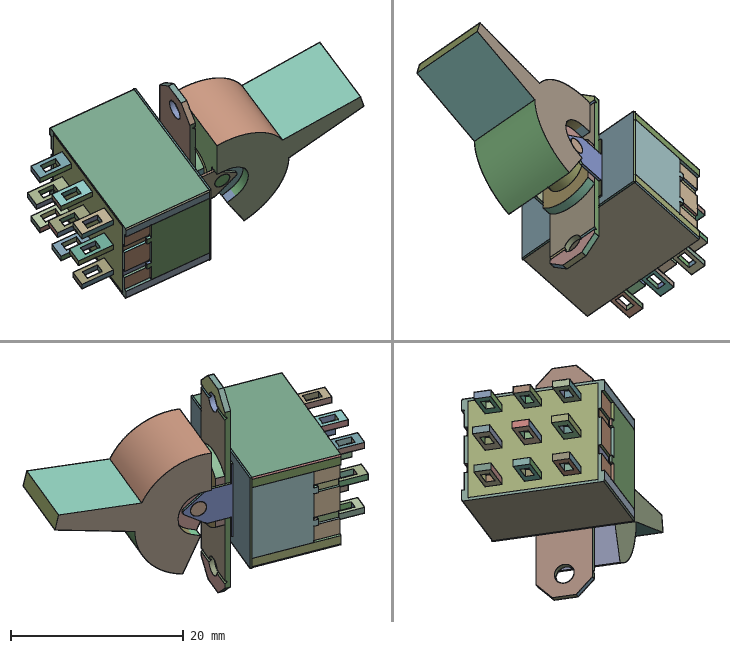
import cadquery as cq
import math


case_width = 17.5
case_height = 13.13
case_front_y = -4.62
case_rear_y = -15.9
side_wall = 0.82
top_wall = 0.35
bevel_x = 0.1
bevel_along = 0.25
slot_z = 2.35
slot_height = 1.15
slot_floor_depth = 0.65

frame_front_y = case_front_y + bevel_along
strap_thickness = 0.35
strap_height = 10.25
strap_rear_y = -12.45
tongue_height = 0.85
tongue_length = 0.6
pad_height = 10.5
ear_thickness = 0.295
ear_half_height = 2.43
ear_shoulder_y = -1.0
ear_apex_y = 2.25
ear_nose_radius = 0.35
ear_hole_diameter = 2.05

terminal_width = 2.08
terminal_thickness = 0.85
column_pitch = 4.8
row_pitch = 4.7
outer_terminal_length = 4.25
middle_terminal_length = 4.7
eye_width = 1.1
eye_length = 2.0
outer_eye_start = 1.2
middle_eye_start = 1.5

plate_width = 6.95
plate_height = 29.5
plate_front_y = -3.45
plate_rear_y = -4.2
plate_corner = 2.0
mount_hole_diameter = 2.4
mount_hole_z = 11.87
groove_width = 0.47
groove_depth = 0.3

flange_diameter = 9.87
flange_front_y = -2.27
bushing_diameter = 5.1
bushing_front_y = 0.0

rocker_width = 9.35
rocker_radius = 8.45
rocker_tilt = 12.5
rocker_face_offset = 1.25
recess_radius = 2.98
trunnion_diameter = 2.0
lever_tip_half = 1.05
lever_root_half = 2.0

overall_length = 39.18
tip_corner_y = overall_length + case_rear_y - middle_terminal_length
tilt_angle = math.radians(rocker_tilt)
lever_reach = (tip_corner_y - lever_tip_half * math.sin(tilt_angle)) / math.cos(tilt_angle)

ear_inner_x = plate_width / 2
ear_outer_x = ear_inner_x + ear_thickness
SIDES = (-1, 1)


def block(x_range, y_range, z_range):
    """Box given by its two limits along each axis."""
    low, high = zip(x_range, y_range, z_range)
    size = [b - a for a, b in zip(low, high)]
    return cq.Workplane("XY").box(*size, centered=False).translate(low)


def centred_block(width, y_range, height):
    """Box centred on X and Z."""
    return block((-width / 2, width / 2), y_range, (-height / 2, height / 2))


def x_prism(profile, x_low, x_high):
    """Extrude a profile drawn on the YZ plane from x_low to x_high."""
    return profile.extrude(x_high - x_low).translate((x_low, 0, 0))


def x_cylinder(diameter, x_low, x_high):
    return x_prism(cq.Workplane("YZ").circle(diameter / 2), x_low, x_high)


def y_cylinder(diameter, y_low, y_high, z=0.0):
    disc = cq.Workplane("XZ", origin=(0, y_high, z)).circle(diameter / 2)
    return disc.extrude(y_high - y_low)


def side_block(side, depth_range, y_range, z_range):
    """Box at one side of the case, its X limits given as depths below the case side."""
    x_range = sorted(side * (case_width / 2 - depth) for depth in depth_range)
    return block(x_range, y_range, z_range)


def height_range(height, z=0.0):
    return (z - height / 2, z + height / 2)


def make_case():
    """Tube with bevelled long edges, a channel for each strap and two slots in each channel."""
    x_side = case_width / 2
    z_top = case_height / 2
    x_bevel = x_side - bevel_x
    z_bevel = z_top - bevel_along
    case = cq.Workplane("XZ", origin=(0, case_front_y, 0)).polyline([
        (-x_bevel, -z_top), (x_bevel, -z_top), (x_side, -z_bevel), (x_side, z_bevel),
        (x_bevel, z_top), (-x_bevel, z_top), (-x_side, z_bevel), (-x_side, -z_bevel),
    ]).close().extrude(case_front_y - case_rear_y)
    case = case.cut(make_base_block())
    for side in SIDES:
        channel = side_block(side, (0, strap_thickness), (case_rear_y, case_front_y),
                             height_range(strap_height))
        case = case.cut(channel)
        for z in (-slot_z, slot_z):
            slot = side_block(side, (strap_thickness, slot_floor_depth), (case_rear_y, strap_rear_y),
                              height_range(slot_height, z))
            case = case.cut(slot)
    return case


def make_base_block():
    return centred_block(case_width - 2 * side_wall, (case_rear_y, case_front_y),
                         case_height - 2 * top_wall)


def make_terminal(length, eye_start):
    blade = centred_block(terminal_width, (case_rear_y - length, case_rear_y), terminal_thickness)
    eye_y = case_rear_y - eye_start
    eye = centred_block(eye_width, (eye_y - eye_length, eye_y), terminal_thickness)
    return blade.cut(eye)


def make_base():
    base = make_base_block()
    outer = make_terminal(outer_terminal_length, outer_eye_start)
    middle = make_terminal(middle_terminal_length, middle_eye_start)
    for row, terminal in ((-1, outer), (0, middle), (1, outer)):
        for column in (-1, 0, 1):
            base = base.union(terminal.translate((column * column_pitch, 0, row * row_pitch)))
    return base


def make_plate():
    plate = centred_block(plate_width, (plate_rear_y, plate_front_y), plate_height)
    plate = plate.edges("|Y").chamfer(plate_corner)
    for z in (-mount_hole_z, mount_hole_z):
        hole = y_cylinder(mount_hole_diameter, plate_rear_y, plate_front_y, z)
        groove = x_prism(cq.Workplane("YZ").polyline([
            (plate_front_y, z - groove_width / 2), (plate_front_y - groove_depth, z),
            (plate_front_y, z + groove_width / 2)]).close(), -ear_inner_x, ear_inner_x)
        plate = plate.cut(hole).cut(groove)
    return plate


def make_ear():
    """Ear on the +X side, with a rounded nose and the pivot hole."""
    profile = cq.Workplane("YZ").polyline([
        (frame_front_y, -ear_half_height), (ear_shoulder_y, -ear_half_height), (ear_apex_y, 0),
        (ear_shoulder_y, ear_half_height), (frame_front_y, ear_half_height)]).close()
    ear = x_prism(profile, ear_inner_x, ear_outer_x)
    ear = ear.edges("|X").edges(">Y").fillet(ear_nose_radius)
    return ear.cut(x_cylinder(ear_hole_diameter, ear_inner_x, ear_outer_x))


def make_front_plate():
    """Plate over the whole front of the case, bevelled along its two side edges."""
    x_side = case_width / 2
    x_bevel = x_side - bevel_x
    profile = cq.Workplane("XY", origin=(0, 0, -case_height / 2)).polyline([
        (-x_side, case_front_y), (x_side, case_front_y),
        (x_bevel, frame_front_y), (-x_bevel, frame_front_y)]).close()
    return profile.extrude(case_height)


def make_frame():
    pad = centred_block(2 * ear_outer_x, (frame_front_y, plate_rear_y), pad_height)
    ear = make_ear()
    frame = make_front_plate().union(pad).union(ear).union(ear.mirror("YZ"))
    for side in SIDES:
        strap = side_block(side, (0, strap_thickness), (strap_rear_y, case_front_y),
                           height_range(strap_height))
        frame = frame.union(strap)
        for z in (-slot_z, slot_z):
            tongue = side_block(side, (0, strap_thickness), (strap_rear_y - tongue_length, strap_rear_y),
                                height_range(tongue_height, z))
            frame = frame.union(tongue)
    return frame


def make_bushing():
    """Barrel on a round flange that is cut flat to fit between the ears."""
    flange = y_cylinder(flange_diameter, plate_front_y, flange_front_y)
    flange = flange.intersect(centred_block(plate_width, (plate_front_y, flange_front_y), flange_diameter))
    return flange.union(y_cylinder(bushing_diameter, flange_front_y, bushing_front_y))


def turned(shape, degrees):
    """Turn a shape about the pivot so that +Y rises toward +Z."""
    return shape.rotate((0, 0, 0), (1, 0, 0), degrees)


def make_lever():
    """Tapered lever along +Y, rooted on the rim of the drum."""
    root_y = math.sqrt(rocker_radius**2 - lever_root_half**2)
    profile = cq.Workplane("YZ").polyline([
        (0, -lever_root_half), (root_y, -lever_root_half), (lever_reach, -lever_tip_half),
        (lever_reach, lever_tip_half), (root_y, lever_root_half), (0, lever_root_half)]).close()
    return x_prism(profile, -rocker_width / 2, rocker_width / 2)


def make_recess():
    """Clearance for the ear on the +X side: a round pocket that runs out through both rear faces."""
    x_range = (ear_inner_x, rocker_width / 2)
    recess = x_cylinder(2 * recess_radius, *x_range)
    channel = block(x_range, (-rocker_radius, 0), (-recess_radius, recess_radius))
    for tilt in (-rocker_tilt, rocker_tilt):
        recess = recess.union(turned(channel, tilt))
    return recess.cut(x_cylinder(trunnion_diameter, ear_inner_x, ear_outer_x))


def make_rocker():
    half_width = rocker_width / 2
    drum = x_cylinder(2 * rocker_radius, -half_width, half_width)
    behind_face = block((-half_width, half_width), (-2 * rocker_radius, -rocker_face_offset),
                        (-2 * rocker_radius, 2 * rocker_radius))
    for tilt in (-rocker_tilt, rocker_tilt):
        drum = drum.cut(turned(behind_face, tilt))
    recess = make_recess()
    rocker = drum.union(make_lever()).cut(recess).cut(recess.mirror("YZ"))
    bore = y_cylinder(bushing_diameter, flange_front_y, bushing_front_y)
    return turned(rocker, rocker_tilt).cut(bore)


case = make_case()
base = make_base()
plate = make_plate()
frame = make_frame()
bushing = make_bushing()
rocker = make_rocker()

result = cq.Compound.makeCompound([
    case.val(), base.val(), plate.val(), frame.val(), bushing.val(), rocker.val(),
])